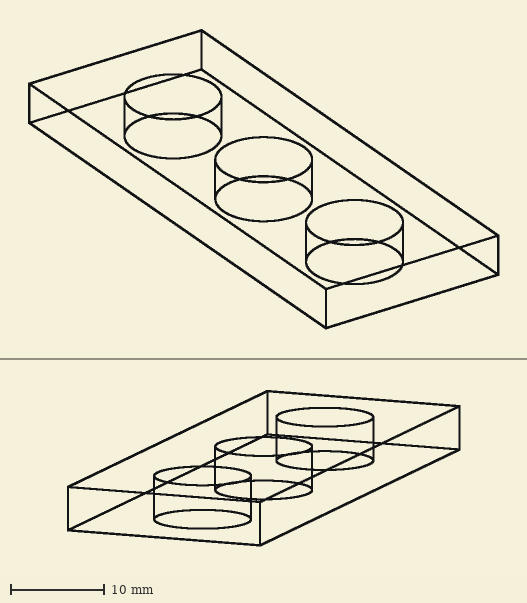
import cadquery as cq

length = 57.15
width = 22.25
thickness = 4.75

hole_diameter = 10.4
hole_count = 3
hole_pitch = 17.5

plate = cq.Workplane("XY").box(length, width, thickness)

result = (
    plate.faces(">Z")
    .workplane()
    .rarray(hole_pitch, width, hole_count, 1)
    .hole(hole_diameter)
)